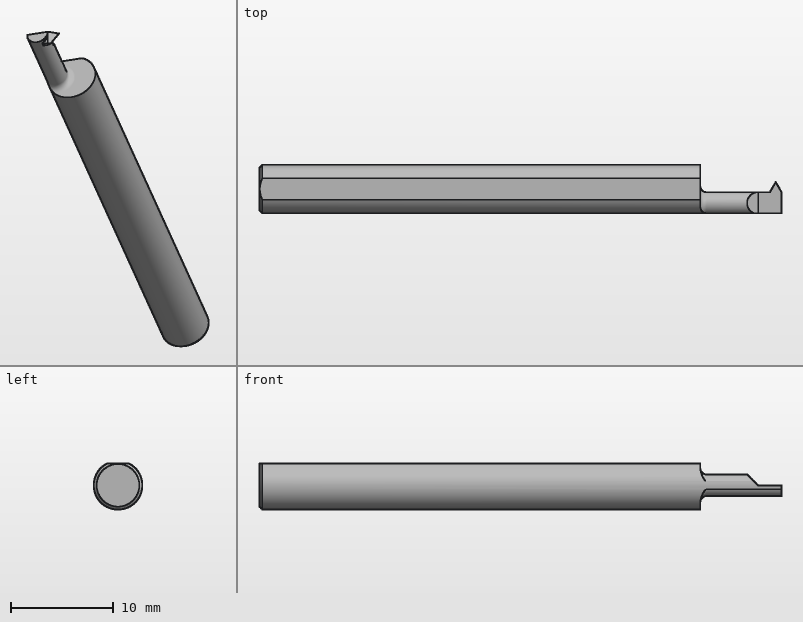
import cadquery as cq
import math

total_length = 50.8
shank_diameter = 4.75
shank_radius = shank_diameter / 2
shank_height = 4.5
flat_z = shank_height - shank_radius
rear_chamfer = 0.3

neck_length = 7.9
shank_length = total_length - neck_length
neck_radius = 1.06
neck_center_y = -1.36
root_fillet = 0.6

rake_face_z = 0.0
rake_face_length = 2.3
runout_angle = 45.0

tooth_height = 1.0
tooth_angle = 60.0
tooth_thickness = neck_radius
tooth_relief_angle = 22.0
tooth_half_width = tooth_height * math.tan(math.radians(tooth_angle / 2))
neck_side_y = neck_center_y + neck_radius


def shank_bar(length):
    """Plain round bar of the shank diameter, running along +X from the rear end."""
    return cq.Workplane("YZ").circle(shank_radius).extrude(length)


def make_shank():
    """Round bar with a chamfered rear end."""
    return shank_bar(shank_length).faces("<X").chamfer(rear_chamfer)


def cut_clamping_flat(body):
    """Remove everything above the clamping flat."""
    above_flat = (
        cq.Workplane("XY", origin=(0, 0, flat_z))
        .rect(2 * total_length, 2 * shank_diameter)
        .extrude(shank_diameter)
    )
    return body.cut(above_flat)


def make_neck():
    """Neck with a concave fillet at its root, trimmed to the shank's round envelope."""
    root_radius = neck_radius + root_fillet
    neck = (
        cq.Workplane("XY", origin=(shank_length, neck_center_y, 0))
        .lineTo(0, root_radius)
        .radiusArc((root_fillet, neck_radius), -root_fillet)
        .lineTo(neck_length, neck_radius)
        .lineTo(neck_length, 0)
        .close()
        .revolve(360, (0, 0, 0), (1, 0, 0))
    )
    return neck.intersect(shank_bar(total_length))


def cut_rake_face(neck):
    """Cut the front of the neck down to the rake face, with a sloping run-out behind it."""
    rake_start_x = total_length - rake_face_length
    cut_height = 2 * neck_radius
    runout_length = cut_height / math.tan(math.radians(runout_angle))
    cutter = (
        cq.Workplane("XZ")
        .moveTo(rake_start_x, rake_face_z)
        .lineTo(total_length, rake_face_z)
        .lineTo(total_length, rake_face_z + cut_height)
        .lineTo(rake_start_x - runout_length, rake_face_z + cut_height)
        .close()
        .extrude(shank_diameter, both=True)
    )
    return neck.cut(cutter)


def make_tooth():
    """Vee tooth with relieved sides below the rake face, rooted on the neck's centre line."""
    tooth_start_x = total_length - 2 * tooth_half_width
    return (
        cq.Workplane("XY", origin=(0, 0, rake_face_z))
        .moveTo(tooth_start_x, neck_center_y)
        .lineTo(tooth_start_x, neck_side_y)
        .lineTo(total_length - tooth_half_width, neck_side_y + tooth_height)
        .lineTo(total_length, neck_side_y)
        .lineTo(total_length, neck_center_y)
        .close()
        .extrude(-tooth_thickness, taper=tooth_relief_angle)
    )


shank = cut_clamping_flat(make_shank())
tip = cut_rake_face(make_neck()).union(make_tooth())
result = shank.union(tip)